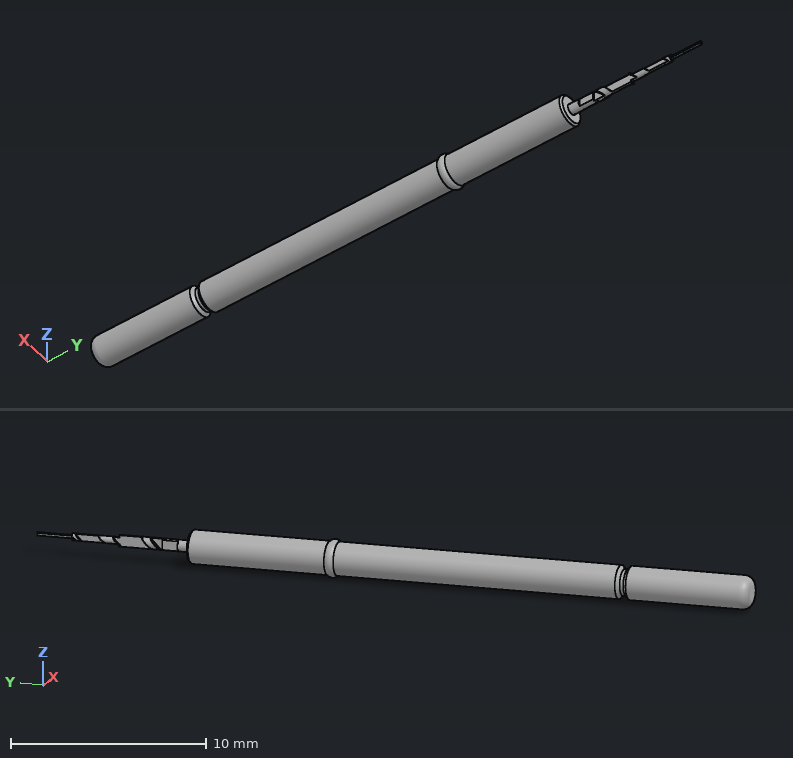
import cadquery as cq
import math

total_length = 38.7

handle_radius = 0.9
handle_length = 30.38
butt_fillet = 0.45
nose_chamfer = 0.1

collar_radius = 1.0
collar_start = 22.4
collar_length = 0.5

groove_start = 6.58
groove_width = 0.58
groove_depth = 0.2
groove_slope = 0.2

bit_steps = [(0.6, 34.25), (0.4, 36.8), (0.2, total_length)]
shank_length = 0.65
blade_thickness = 0.15

bit_lands = [(32.5, 0.45), (34.83, 0.77), (36.6, 0.3)]
land_slant = 45.0

root_end = 31.9
root_thickness = 0.35


def make_handle():
    """Round handle with a rounded butt and a chamfered nose."""
    handle = cq.Workplane("XZ").circle(handle_radius).extrude(-handle_length)
    return handle.faces("<Y").edges().fillet(butt_fillet).faces(">Y").edges().chamfer(nose_chamfer)


def make_collar():
    """Raised ring with a crowned outer face."""
    collar_end = collar_start + collar_length
    return (
        cq.Workplane("XY")
        .moveTo(0, collar_start)
        .lineTo(handle_radius, collar_start)
        .threePointArc((collar_radius, collar_start + collar_length / 2), (handle_radius, collar_end))
        .lineTo(0, collar_end)
        .close()
        .revolve(360, (0, 0, 0), (0, 1, 0))
    )


def make_groove():
    """Ring-shaped cutter for the grip groove."""
    floor_radius = handle_radius - groove_depth
    groove_end = groove_start + groove_width
    return (
        cq.Workplane("XY")
        .moveTo(handle_radius, groove_start)
        .lineTo(floor_radius, groove_start + groove_slope)
        .lineTo(floor_radius, groove_end - groove_slope)
        .lineTo(handle_radius, groove_end)
        .lineTo(collar_radius, groove_end)
        .lineTo(collar_radius, groove_start)
        .close()
        .revolve(360, (0, 0, 0), (0, 1, 0))
    )


def make_round(diameter, start, end):
    """Round rod on the Y axis."""
    return cq.Workplane("XZ", origin=(0, start, 0)).circle(diameter / 2).extrude(start - end)


def make_slab(thickness, start, end):
    """Flat plate on the YZ plane, as tall as the shank."""
    height = bit_steps[0][0]
    return cq.Workplane("XY").box(thickness, end - start, height).translate((0, (start + end) / 2, 0))


def make_land(center, width, side):
    """Slanting band on one side of the blade; opposite sides slant opposite ways, like a helix."""
    depth = bit_steps[0][0] / 2
    rise = depth / math.tan(math.radians(land_slant))
    half_width = width / 2
    corners = [
        (center - rise * side - half_width, depth),
        (center - rise * side + half_width, depth),
        (center + rise * side + half_width, -depth),
        (center + rise * side - half_width, -depth),
    ]
    return cq.Workplane("YZ").polyline(corners).close().extrude(side * depth)


def make_bit():
    """Round shank and stepped rod, flattened to a blade between the lands."""
    shank_diameter = bit_steps[0][0]
    blade_start = handle_length + shank_length
    rod = make_round(shank_diameter, handle_length, blade_start)
    start = blade_start
    for diameter, end in bit_steps:
        rod = rod.union(make_round(diameter, start, end))
        start = end

    kept = make_slab(shank_diameter, handle_length, blade_start)
    kept = kept.union(make_slab(root_thickness, blade_start, root_end))
    kept = kept.union(make_slab(blade_thickness, root_end, total_length))
    for center, width in bit_lands:
        for side in (-1, 1):
            kept = kept.union(make_land(center, width, side))
    return rod.intersect(kept)


result = make_handle().union(make_collar()).cut(make_groove()).union(make_bit())